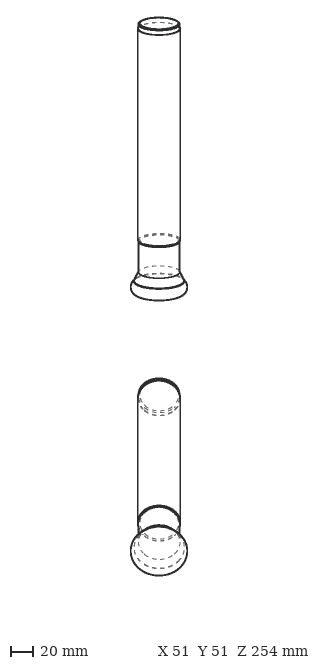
import cadquery as cq
import math

total_height = 254.0
foot_height = 50.8

leg_radius = 19.0
top_band_height = 5.0
top_band_radius = 18.5
top_chamfer_height = 1.0
top_chamfer_width = 1.3

foot_radius = 25.5
neck_radius = 18.5
neck_chamfer = 1.3
bead_radius = 6.4
bead_top_height = 11.7
flare_bottom_height = 12.5
flare_top_height = 20.5

base_radius = foot_radius - bead_radius
bead_top_radius = base_radius + math.sqrt(bead_radius**2 - (bead_top_height - bead_radius) ** 2)


def make_leg():
    """Round leg with a slightly reduced, chamfered band at its top end."""
    band_bottom = total_height - top_band_height
    return (
        cq.Workplane("XZ")
        .moveTo(0, foot_height)
        .lineTo(leg_radius, foot_height)
        .lineTo(leg_radius, band_bottom)
        .lineTo(top_band_radius, band_bottom)
        .lineTo(top_band_radius, total_height - top_chamfer_height)
        .lineTo(top_band_radius - top_chamfer_width, total_height)
        .lineTo(0, total_height)
        .close()
        .revolve(360, (0, 0, 0), (0, 1, 0))
    )


def make_foot():
    """Foot with a rounded bead at the floor, a conical flare and a chamfered neck."""
    return (
        cq.Workplane("XZ")
        .moveTo(0, 0)
        .lineTo(base_radius, 0)
        .threePointArc((foot_radius, bead_radius), (bead_top_radius, bead_top_height))
        .lineTo(bead_top_radius, flare_bottom_height)
        .lineTo(neck_radius, flare_top_height)
        .lineTo(neck_radius, foot_height - neck_chamfer)
        .lineTo(neck_radius - neck_chamfer, foot_height)
        .lineTo(0, foot_height)
        .close()
        .revolve(360, (0, 0, 0), (0, 1, 0))
    )


leg = make_leg()
foot = make_foot()

result = cq.Compound.makeCompound([leg.val(), foot.val()])